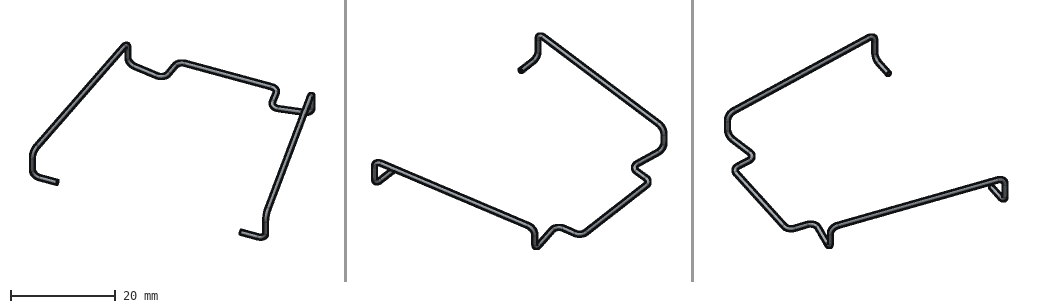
import cadquery as cq
import math

wire_diameter = 1.0
wire_radius = wire_diameter / 2
bend_radius = 1.5
width = 49.0
depth = 41.0
height = 7.15

hook_x = width / 2 - wire_radius
hook_tip_x = 18.85
leg_z = height - wire_diameter
post_x = 18.95
post_y = 35.85
loop_z = 0.75
valley_x = 10.95
valley_y = 34.45
crest_x = 10.25
crest_y = depth - wire_diameter

left_corners = [
    cq.Vector(-hook_tip_x, 0, 0),
    cq.Vector(-hook_x, 0, 0),
    cq.Vector(-hook_x, 0, leg_z),
    cq.Vector(-post_x, post_y, leg_z),
    cq.Vector(-post_x, post_y, loop_z),
    cq.Vector(-valley_x, valley_y, loop_z),
    cq.Vector(-crest_x, crest_y, loop_z),
]
right_corners = [cq.Vector(-point.x, point.y, point.z) for point in reversed(left_corners)]
corners = left_corners + right_corners


def bend_points(before, corner, after):
    """Return the start, middle and end of the arc that rounds a corner."""
    to_before = (before - corner).normalized()
    to_after = (after - corner).normalized()
    half_angle = to_before.getAngle(to_after) / 2
    setback = bend_radius / math.tan(half_angle)
    middle_distance = bend_radius / math.sin(half_angle) - bend_radius
    bisector = (to_before + to_after).normalized()
    start = corner + to_before * setback
    middle = corner + bisector * middle_distance
    end = corner + to_after * setback
    return start, middle, end


def rounded_path(points):
    """Join the points with straight runs and a tangent arc at each inner corner."""
    edges = []
    run_start = points[0]
    for before, corner, after in zip(points, points[1:], points[2:]):
        start, middle, end = bend_points(before, corner, after)
        edges.append(cq.Edge.makeLine(run_start, start))
        edges.append(cq.Edge.makeThreePointArc(start, middle, end))
        run_start = end
    edges.append(cq.Edge.makeLine(run_start, points[-1]))
    return cq.Wire.assembleEdges(edges)


tip_plane = cq.Plane(origin=corners[0].toTuple(), xDir=(0, 1, 0), normal=(-1, 0, 0))
result = cq.Workplane(tip_plane).circle(wire_radius).sweep(rounded_path(corners))